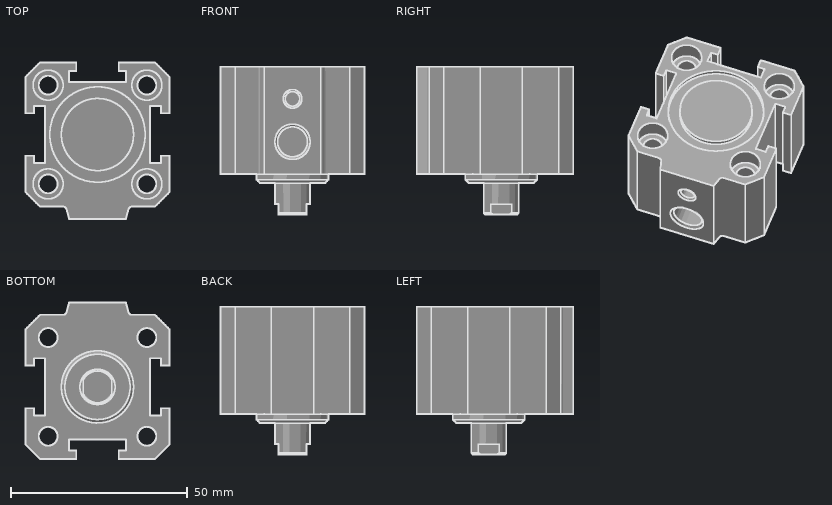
import cadquery as cq
import math

BLOCK_SIDE = 41.0
BLOCK_HEIGHT = 30.53
CORNER_CHAMFER = 4.2
HALF_SIDE = BLOCK_SIDE / 2

SLOT_MOUTH_WIDTH = 12
SLOT_INNER_WIDTH = 16.15
SLOT_LIP = 2.5
SLOT_DEPTH = 5.5

TOTAL_DEPTH = 44.5
PAD_HEIGHT = TOTAL_DEPTH - BLOCK_SIDE
PAD_FACE_WIDTH = 16.15
PAD_FLANK_ANGLE = 15
PAD_FILLET = 1.0

BOLT_OFFSET = 14.0
BOLT_DIAMETER = 5.3
COUNTERBORE_DIAMETER = 8.55
COUNTERBORE_DEPTH = 5.8

RECESS_DIAMETER = 27.1
RECESS_DEPTH = 1.6
DISC_DIAMETER = 20.5

BOSS_DIAMETER = 20.5
BOSS_HEIGHT = 2.5
BOSS_CHAMFER = 1.0

MAIN_PORT_DIAMETER = 8.5
MAIN_PORT_MOUTH = 10.0
MAIN_PORT_Z = 9.2
SMALL_PORT_DIAMETER = 4.15
SMALL_PORT_MOUTH = 5.3
SMALL_PORT_Z = BLOCK_HEIGHT - 9.12
PORT_DEPTH = 8

TOTAL_HEIGHT = 42.0
ROD_DIAMETER = 10.0
ROD_END_CHAMFER = 0.5
ROD_FLATS_WIDTH = 8
ROD_FLATS_LENGTH = 3.0
SOCKET_DEPTH_IN_BLOCK = 8.9
ROD_BOTTOM_Z = BLOCK_HEIGHT - TOTAL_HEIGHT


def make_block():
    """Square block with its four vertical edges chamfered."""
    block = cq.Workplane("XY").rect(BLOCK_SIDE, BLOCK_SIDE).extrude(BLOCK_HEIGHT)
    return block.edges("|Z").chamfer(CORNER_CHAMFER)


def make_t_slot(angle):
    """T-slot cutter for the back face, turned about Z by the angle in degrees."""
    mouth = (
        cq.Workplane("XY")
        .center(0, HALF_SIDE - SLOT_DEPTH / 2)
        .rect(SLOT_MOUTH_WIDTH, SLOT_DEPTH)
        .extrude(BLOCK_HEIGHT)
    )
    undercut = (
        cq.Workplane("XY")
        .center(0, HALF_SIDE - (SLOT_LIP + SLOT_DEPTH) / 2)
        .rect(SLOT_INNER_WIDTH, SLOT_DEPTH - SLOT_LIP)
        .extrude(BLOCK_HEIGHT)
    )
    return mouth.union(undercut).rotate((0, 0, 0), (0, 0, 1), angle)


def add_port_pad(block):
    """Add the pad on the front face and round its two inner corners."""
    face_half = PAD_FACE_WIDTH / 2
    root_half = face_half + PAD_HEIGHT * math.tan(math.radians(PAD_FLANK_ANGLE))
    pad = (
        cq.Workplane("XY")
        .polyline([
            (-face_half, -HALF_SIDE - PAD_HEIGHT),
            (face_half, -HALF_SIDE - PAD_HEIGHT),
            (root_half, -HALF_SIDE),
            (root_half, 0),
            (-root_half, 0),
            (-root_half, -HALF_SIDE),
        ])
        .close()
        .extrude(BLOCK_HEIGHT)
    )
    padded = block.union(pad)
    for side in (-1, 1):
        corner = (side * root_half, -HALF_SIDE, BLOCK_HEIGHT / 2)
        padded = padded.edges(cq.NearestToPointSelector(corner)).fillet(PAD_FILLET)
    return padded


def make_port(diameter, mouth_diameter, z):
    """Countersunk blind port cutter, revolved about its axis along Y."""
    countersink = (mouth_diameter - diameter) / 2
    return (
        cq.Workplane("XY")
        .polyline([
            (0, 0),
            (mouth_diameter / 2, 0),
            (diameter / 2, countersink),
            (diameter / 2, PORT_DEPTH),
            (0, PORT_DEPTH),
        ])
        .close()
        .revolve(360, (0, 0), (0, 1))
        .translate((0, -HALF_SIDE - PAD_HEIGHT, z))
    )


def make_top_recess():
    """Ring recess cutter that leaves a central disc flush with the top face."""
    recess = cq.Workplane("XY").circle(RECESS_DIAMETER / 2).extrude(RECESS_DEPTH)
    disc = cq.Workplane("XY").circle(DISC_DIAMETER / 2).extrude(RECESS_DEPTH)
    return recess.cut(disc).translate((0, 0, BLOCK_HEIGHT - RECESS_DEPTH))


def make_boss():
    """Round boss under the block, chamfered at its lower rim."""
    boss = cq.Workplane("XY").circle(BOSS_DIAMETER / 2).extrude(-BOSS_HEIGHT)
    return boss.faces("<Z").edges().chamfer(BOSS_CHAMFER)


def make_rod_cylinder():
    """Plain rod, from the socket floor to the rod's lower end."""
    return (
        cq.Workplane("XY", origin=(0, 0, ROD_BOTTOM_Z))
        .circle(ROD_DIAMETER / 2)
        .extrude(SOCKET_DEPTH_IN_BLOCK - ROD_BOTTOM_Z)
    )


def make_housing():
    """Block with pad, boss, slots, bolt holes, ports, top recess and rod socket."""
    housing = add_port_pad(make_block())
    for angle in (-90, 0, 90):
        housing = housing.cut(make_t_slot(angle))
    housing = (
        housing.faces(">Z")
        .workplane(origin=(0, 0, BLOCK_HEIGHT))
        .rect(2 * BOLT_OFFSET, 2 * BOLT_OFFSET, forConstruction=True)
        .vertices()
        .cboreHole(BOLT_DIAMETER, COUNTERBORE_DIAMETER, COUNTERBORE_DEPTH)
    )
    housing = housing.cut(make_top_recess())
    housing = housing.cut(make_port(MAIN_PORT_DIAMETER, MAIN_PORT_MOUTH, MAIN_PORT_Z))
    housing = housing.cut(make_port(SMALL_PORT_DIAMETER, SMALL_PORT_MOUTH, SMALL_PORT_Z))
    return housing.union(make_boss()).cut(make_rod_cylinder())


def make_rod():
    """Piston rod with a chamfered end and two wrench flats facing -X and +X."""
    rod = make_rod_cylinder().faces("<Z").edges().chamfer(ROD_END_CHAMFER)
    flat_cut_width = (ROD_DIAMETER - ROD_FLATS_WIDTH) / 2
    for side in (-1, 1):
        flat_cut = (
            cq.Workplane("XY", origin=(0, 0, ROD_BOTTOM_Z))
            .center(side * (ROD_FLATS_WIDTH + flat_cut_width) / 2, 0)
            .rect(flat_cut_width, ROD_DIAMETER)
            .extrude(ROD_FLATS_LENGTH)
        )
        rod = rod.cut(flat_cut)
    return rod


housing = make_housing()
rod = make_rod()
result = cq.Compound.makeCompound([*housing.solids().vals(), *rod.solids().vals()])